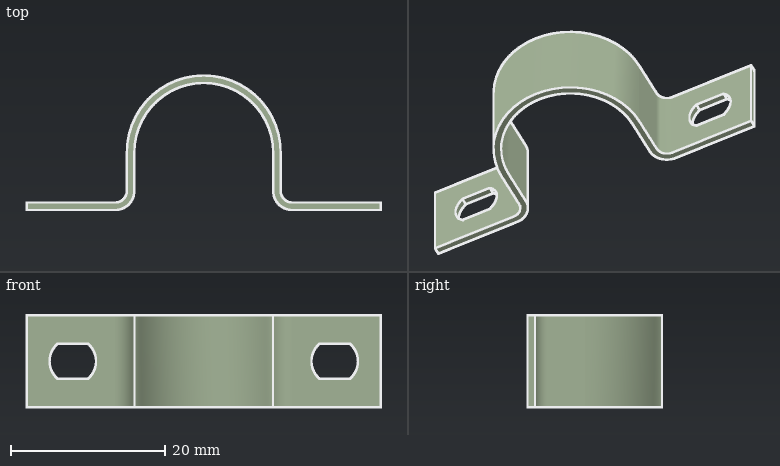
import cadquery as cq

thickness = 1.0
strip_width = 12.0
overall_length = 46.0

saddle_outer_radius = 10.0
saddle_inner_radius = saddle_outer_radius - thickness
leg_length = 5.0

bend_inner_radius = 1.5
bend_outer_radius = bend_inner_radius + thickness

hole_spacing = 34.0
hole_diameter = 6.0
hole_height = 4.5

bend_start_y = -leg_length
foot_inner_y = bend_start_y - bend_inner_radius
foot_outer_y = bend_start_y - bend_outer_radius
foot_start_x = saddle_outer_radius + bend_inner_radius
foot_end_x = overall_length / 2


def make_half_strip():
    """The +X half of the bent strip, from the crown of the saddle to the foot end."""
    return (
        cq.Workplane("XY")
        .workplane(offset=-strip_width / 2)
        .moveTo(0, saddle_outer_radius)
        .radiusArc((saddle_outer_radius, 0), saddle_outer_radius)
        .lineTo(saddle_outer_radius, bend_start_y)
        .radiusArc((foot_start_x, foot_inner_y), -bend_inner_radius)
        .lineTo(foot_end_x, foot_inner_y)
        .lineTo(foot_end_x, foot_outer_y)
        .lineTo(foot_start_x, foot_outer_y)
        .radiusArc((saddle_inner_radius, bend_start_y), bend_outer_radius)
        .lineTo(saddle_inner_radius, 0)
        .radiusArc((0, saddle_inner_radius), -saddle_inner_radius)
        .close()
        .extrude(strip_width)
    )


def make_hole_cutter():
    """Cylinder along Y with two flats, reaching through the +X foot."""
    cutter_length = 2 * thickness
    cylinder = cq.Workplane("XZ").circle(hole_diameter / 2).extrude(cutter_length)
    flats = cq.Workplane("XZ").rect(hole_diameter, hole_height).extrude(cutter_length)
    start_y = foot_inner_y + thickness / 2
    return cylinder.intersect(flats).translate((hole_spacing / 2, start_y, 0))


half_clip = make_half_strip().cut(make_hole_cutter())
result = half_clip.union(half_clip.mirror("YZ"), clean=True)